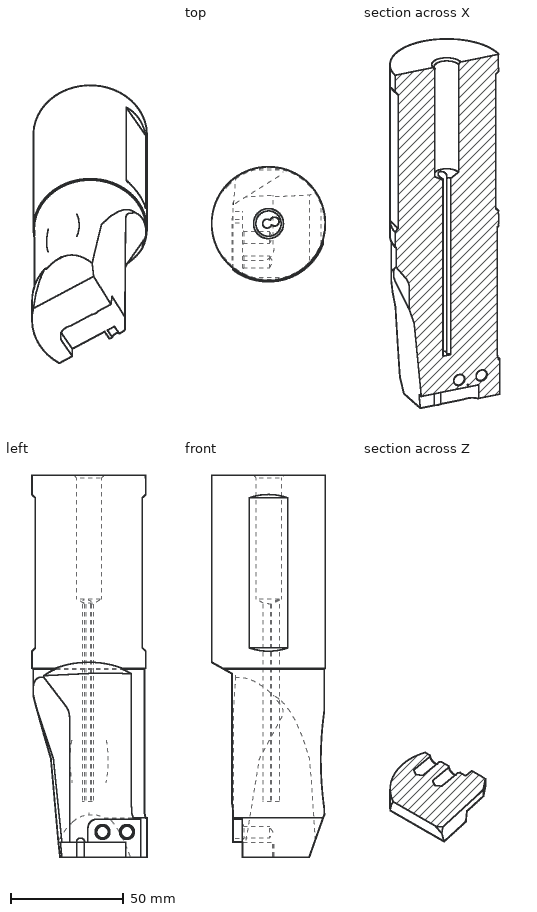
import cadquery as cq
import math

TOTAL_LENGTH = 170.45
SHANK_R = 25.4
NECK_R = 24.9
TIP_R = 26.0
SHANK_BOTTOM_Z = 83.9
SHANK_CHAMFER = 0.5
DRILL_ANGLE = 118.0
CLEAR = 60.0

FLAT_WIDTH = 17.0
FLAT_BOTTOM_Z = 93.4
FLAT_TOP_Z = 160.4
FLAT_Y = math.sqrt(SHANK_R**2 - (FLAT_WIDTH / 2) ** 2)

BORE_D = 11.3
BORE_MOUTH_D = 13.4
BORE_DEPTH = 55.0
COOLANT_D = 4.0
COOLANT_END_Z = 25.0
COOLANT_XY = [(-0.6, 0.0), (2.7, 0.9)]

FACE_X = -16.5
FACE_Y_MIN = -15.0
FACE_Y_MAX = 0.0
FACET_TILT = 5.0
FACE_TOP_Z = 82.0
LEAD_IN_TOP_Z = 87.0
LEAD_IN_RISE = (LEAD_IN_TOP_Z - FACE_TOP_Z) / (SHANK_R + FACE_X)

HEAD_RECESS = 0.56
HEAD_X = FACE_X + HEAD_RECESS
HEAD_Z = 20.6
HEAD_BLEND_R = 16.0

FLUTE_EDGE_Y = 8.6
FLUTE_TURN = 58.0
FLUTE_BEND_Z = 65.3
FLUTE_RUNOUT = 31.6
FLUTE_BLEND_R = 10.0

RELIEF_TURN = 3.0
RELIEF_PIVOT_X = 18.3
RELIEF_TIP_Y = 12.9
RELIEF_KNEE = (17.0, 44.0)
RELIEF_SLOPE = 0.306

HOLLOW_MIN_X = 23.4
HOLLOW_BOTTOM_Z = 22.0
HOLLOW_TOP_Z = 65.0
TAPER_START_Z = 19.0
TAPER_TIP_X = 18.2

COLLAR_TOP_Z = 17.6
COLLAR_CONE_TOP_Z = 19.8
SEAT_X = -11.7
SEAT_Y = 0.4
SEAT_TOP_Z = 17.0
SEAT_CORNER_R = 4.0
SCREW_D = 5.2
SCREW_MOUTH_D = 6.6
SCREW_DEPTH = 12.0
SCREW_Y = [-6.1, -17.0]
SCREW_Z = 11.3

NOTCH_TOP_Z = 6.8
NOTCH_X = 2.0
NOTCH_Y_MIN = -16.4
NOTCH_RELIEF_R = 5.3
NOTCH_RELIEF_DEPTH = 0.3
CORNER_SLOT_R = 1.8
CORNER_SLOT_Y = 3.7
RIB_R = 4.1
RIB_HEIGHT = 0.35


def cylinder(radius, z_bottom, z_top):
    return cq.Workplane("XY").workplane(offset=z_bottom).circle(radius).extrude(z_top - z_bottom)


def box(x_min, x_max, y_min, y_max, z_min, z_max):
    size = (x_max - x_min, y_max - y_min, z_max - z_min)
    return cq.Workplane("XY").box(*size, centered=False).translate((x_min, y_min, z_min))


def blank():
    """Cylindrical shank over a slimmer neck."""
    shank = cylinder(SHANK_R, SHANK_BOTTOM_Z, TOTAL_LENGTH).faces("<Z").edges().chamfer(SHANK_CHAMFER)
    return shank.union(cylinder(NECK_R, 0, SHANK_BOTTOM_Z))


def tip_collar():
    """Enlarged tip on the -Y side, with a short cone leading into the neck."""
    cone_profile = [(0, 0), (TIP_R, 0), (TIP_R, COLLAR_TOP_Z), (SHANK_R, COLLAR_TOP_Z),
                    (NECK_R, COLLAR_CONE_TOP_Z), (0, COLLAR_CONE_TOP_Z)]
    collar = cq.Workplane("XZ").polyline(cone_profile).close().revolve(360, (0, 0, 0), (0, 1, 0))
    return collar.intersect(box(HEAD_X, CLEAR, -CLEAR, 0, 0, COLLAR_CONE_TOP_Z))


def clamping_flat(side):
    """Flat with ends that slope outward at 45 degrees; side is +1 or -1 along Y."""
    depth = 2 * (SHANK_R - FLAT_Y)
    profile = [
        (side * FLAT_Y, FLAT_BOTTOM_Z),
        (side * FLAT_Y, FLAT_TOP_Z),
        (side * (FLAT_Y + depth), FLAT_TOP_Z + depth),
        (side * (FLAT_Y + depth), FLAT_BOTTOM_Z - depth),
    ]
    return cq.Workplane("YZ").polyline(profile).close().extrude(CLEAR, both=True)


def drilled_hole(diameter, mouth_diameter, depth):
    """Drilled hole with a 45 degree mouth, opening at the origin and running down -Z."""
    mouth_depth = (mouth_diameter - diameter) / 2
    cone_height = diameter / 2 / math.tan(math.radians(DRILL_ANGLE / 2))
    profile = [
        (0, 0),
        (mouth_diameter / 2, 0),
        (diameter / 2, -mouth_depth),
        (diameter / 2, -depth),
        (0, -depth - cone_height),
    ]
    return cq.Workplane("XZ").polyline(profile).close().revolve(360, (0, 0, 0), (0, 1, 0))


def coolant_bore():
    """Central bore continued by two narrow channels that end blind above the tip."""
    bore = drilled_hole(BORE_D, BORE_MOUTH_D, BORE_DEPTH).translate((0, 0, TOTAL_LENGTH))
    for x, y in COOLANT_XY:
        channel = cylinder(COOLANT_D / 2, COOLANT_END_Z, TOTAL_LENGTH - BORE_DEPTH)
        bore = bore.union(channel.translate((x, y, 0)))
    return bore


def neck_face():
    """Everything outside the three-facet face, below the sloped lead-in."""
    facet_rise = CLEAR * math.tan(math.radians(FACET_TILT))
    section = [
        (FACE_X, FACE_Y_MIN),
        (FACE_X, FACE_Y_MAX),
        (FACE_X + facet_rise, FACE_Y_MAX + CLEAR),
        (-CLEAR, FACE_Y_MAX + CLEAR),
        (-CLEAR, FACE_Y_MIN - CLEAR),
        (FACE_X + facet_rise, FACE_Y_MIN - CLEAR),
    ]
    facets = cq.Workplane("XY").polyline(section).close().extrude(TOTAL_LENGTH)
    side = [
        (0, 0),
        (0, FACE_TOP_Z + LEAD_IN_RISE * FACE_X),
        (-CLEAR, FACE_TOP_Z + LEAD_IN_RISE * (FACE_X + CLEAR)),
        (-CLEAR, 0),
    ]
    lead_in = cq.Workplane("XZ").polyline(side).close().extrude(CLEAR * 2, both=True)
    return facets.intersect(lead_in)


def head_flat():
    """Flat slightly below the neck face, blended out upward by a large arc."""
    blend_height = math.sqrt(2 * HEAD_BLEND_R * HEAD_RECESS - HEAD_RECESS**2)
    blend_angle = math.asin(blend_height / HEAD_BLEND_R)
    arc_mid = (
        HEAD_X - HEAD_BLEND_R * (1 - math.cos(blend_angle / 2)),
        HEAD_Z + HEAD_BLEND_R * math.sin(blend_angle / 2),
    )
    profile = (
        cq.Workplane("XZ")
        .moveTo(HEAD_X, 0)
        .lineTo(HEAD_X, HEAD_Z)
        .threePointArc(arc_mid, (FACE_X, HEAD_Z + blend_height))
        .lineTo(-CLEAR, HEAD_Z + blend_height)
        .lineTo(-CLEAR, 0)
        .close()
    )
    return profile.extrude(CLEAR, both=True)


def chip_flute():
    """Straight floor with a blended runout, swept along the floor direction."""
    turn = math.radians(FLUTE_TURN)
    edge_x = FACE_X + FLUTE_EDGE_Y * math.tan(math.radians(FACET_TILT))
    outward = cq.Vector(-math.cos(turn), math.sin(turn), 0)
    along = cq.Vector(math.sin(turn), math.cos(turn), 0)
    plane = cq.Plane(origin=(edge_x, FLUTE_EDGE_Y, 0), xDir=outward, normal=along)
    up = plane.yDir.z
    runout_top = FLUTE_BEND_Z + CLEAR / math.tan(math.radians(FLUTE_RUNOUT))
    profile = [(0, 0), (0, up * FLUTE_BEND_Z), (CLEAR, up * runout_top), (CLEAR, 0)]
    flute = cq.Workplane(plane).polyline(profile).close().extrude(CLEAR, both=True)
    bend = cq.selectors.NearestToPointSelector((edge_x, FLUTE_EDGE_Y, FLUTE_BEND_Z))
    return flute.edges(bend).fillet(FLUTE_BLEND_R)


def flute_relief():
    """Sloped cut behind the flute, steeper above its knee and turned slightly about Z."""
    knee_y, knee_z = RELIEF_KNEE
    profile = [
        (RELIEF_TIP_Y, 0),
        (knee_y, knee_z),
        (knee_y + RELIEF_SLOPE * CLEAR, knee_z + CLEAR),
        (CLEAR, knee_z + CLEAR),
        (CLEAR, 0),
    ]
    relief = cq.Workplane("YZ").polyline(profile).close().extrude(2 * CLEAR, both=True)
    relief = relief.intersect(box(-CLEAR, CLEAR, 0, CLEAR, 0, SHANK_BOTTOM_Z))
    return relief.rotate((RELIEF_PIVOT_X, knee_y, 0), (RELIEF_PIVOT_X, knee_y, 1), RELIEF_TURN)


def side_hollow():
    """Shallow hollow along the +X side, starting where it is deepest on the neck."""
    start_y = -math.sqrt(NECK_R**2 - HOLLOW_MIN_X**2)
    mid_z = (HOLLOW_BOTTOM_Z + HOLLOW_TOP_Z) / 2
    profile = (
        cq.Workplane("XZ", origin=(0, start_y, 0))
        .moveTo(NECK_R, HOLLOW_BOTTOM_Z)
        .threePointArc((HOLLOW_MIN_X, mid_z), (NECK_R, HOLLOW_TOP_Z))
        .close()
    )
    return profile.extrude(-CLEAR)


def tip_taper():
    """Slanted cut that narrows the +X side toward the tip."""
    profile = [(TAPER_TIP_X, 0), (NECK_R, TAPER_START_Z), (CLEAR, TAPER_START_Z), (CLEAR, 0)]
    return cq.Workplane("XZ").polyline(profile).close().extrude(CLEAR, both=True)


def cartridge_seat():
    """Seat with a rounded inner corner and two screw holes in its floor."""
    seat = box(-CLEAR, SEAT_X, -CLEAR, SEAT_Y, -CLEAR, SEAT_TOP_Z)
    seat = seat.edges("|X and >Y and >Z").fillet(SEAT_CORNER_R)
    for y in SCREW_Y:
        hole = drilled_hole(SCREW_D, SCREW_MOUTH_D, SCREW_DEPTH)
        seat = seat.union(hole.rotate((0, 0, 0), (0, 1, 0), -90).translate((SEAT_X, y, SCREW_Z)))
    return seat


def insert_notch():
    """Tip notch with a round relief in its corner, a rounded rib and a slot above the rib."""
    relief_x = NOTCH_X + NOTCH_RELIEF_DEPTH - NOTCH_RELIEF_R
    relief_y = NOTCH_Y_MIN + NOTCH_RELIEF_R
    notch = box(-CLEAR, NOTCH_X, relief_y, CLEAR, 0, NOTCH_TOP_Z)
    notch = notch.union(box(-CLEAR, relief_x, NOTCH_Y_MIN, relief_y, 0, NOTCH_TOP_Z))
    relief = cylinder(NOTCH_RELIEF_R, 0, NOTCH_TOP_Z).translate((relief_x, relief_y, 0))
    rib = cylinder(RIB_R, 0, NOTCH_TOP_Z).translate((NOTCH_X + RIB_R - RIB_HEIGHT, CORNER_SLOT_Y, 0))
    slot_start = cq.Workplane("YZ", origin=(-CLEAR, CORNER_SLOT_Y, NOTCH_TOP_Z))
    slot = slot_start.circle(CORNER_SLOT_R).extrude(CLEAR + SEAT_X)
    return notch.union(relief).cut(rib).union(slot)


body = blank().union(tip_collar())
for flat_side in (1, -1):
    body = body.cut(clamping_flat(flat_side))
for cutter in (
    coolant_bore(),
    neck_face(),
    head_flat(),
    chip_flute(),
    flute_relief(),
    side_hollow(),
    tip_taper(),
    cartridge_seat(),
    insert_notch(),
):
    body = body.cut(cutter)

result = body